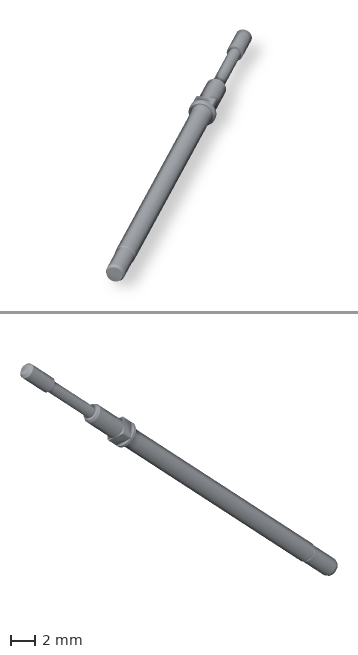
import cadquery as cq

LENGTH = 38.8
TIP_Y = LENGTH / 2

HEAD_DIA = 1.35
PLUNGER_DIA = 1.0
BARREL_DIA = 1.7
PRESS_RING_DIA = 1.85
COLLAR_DIA = 2.3
TAIL_DIA = 1.6

HEAD_LENGTH = 3.0
PLUNGER_LENGTH = 5.3
UPPER_BARREL_LENGTH = 3.2
SQUARE_LENGTH = 0.97
FLANGE_LENGTH = 0.4
PRESS_RING_LENGTH = 0.65
TAIL_LENGTH = 3.0

TIP_CHAMFER = 0.25
BARREL_MOUTH_CHAMFER_LENGTH = 0.25
BARREL_MOUTH_CHAMFER_DEPTH = 0.1
FLANGE_CHAMFER = 0.1
BARREL_END_CHAMFER = 0.15
TAIL_CHAMFER_LENGTH = 0.27
TAIL_CHAMFER_DEPTH = 0.1

SQUARE_ACROSS_FLATS = BARREL_DIA

head_end = TIP_Y - HEAD_LENGTH
barrel_start = head_end - PLUNGER_LENGTH
square_start = barrel_start - UPPER_BARREL_LENGTH
flange_start = square_start - SQUARE_LENGTH
flange_end = flange_start - FLANGE_LENGTH
press_ring_end = flange_end - PRESS_RING_LENGTH
tail_end = TIP_Y - LENGTH
barrel_end = tail_end + TAIL_LENGTH


def cylinder(diameter, y_top, y_bottom):
    """Solid cylinder on the Y axis between two positions along it."""
    return cq.Workplane("XZ", origin=(0, y_top, 0)).circle(diameter / 2).extrude(y_top - y_bottom)


def make_plunger():
    head = cylinder(HEAD_DIA, TIP_Y, head_end).faces(">Y").chamfer(TIP_CHAMFER)
    return head.union(cylinder(PLUNGER_DIA, head_end, barrel_start))


def make_barrel():
    barrel = cylinder(BARREL_DIA, barrel_start, barrel_end)
    barrel = barrel.faces(">Y").chamfer(BARREL_MOUTH_CHAMFER_LENGTH, BARREL_MOUTH_CHAMFER_DEPTH)
    return barrel.faces("<Y").chamfer(BARREL_END_CHAMFER)


def make_square_drive():
    """Round bar of collar diameter milled to a square with rounded corners."""
    square = (
        cq.Workplane("XZ", origin=(0, square_start, 0))
        .rect(SQUARE_ACROSS_FLATS, SQUARE_ACROSS_FLATS)
        .extrude(SQUARE_LENGTH)
    )
    return square.intersect(cylinder(COLLAR_DIA, square_start, flange_start))


def make_flange():
    return cylinder(COLLAR_DIA, flange_start, flange_end).faces("<Y").chamfer(FLANGE_CHAMFER)


def make_press_ring():
    """Slight cone below the flange that runs out into the barrel."""
    return (
        cq.Workplane("XZ", origin=(0, flange_end, 0))
        .circle(PRESS_RING_DIA / 2)
        .workplane(offset=PRESS_RING_LENGTH)
        .circle(BARREL_DIA / 2)
        .loft()
    )


def make_tail():
    tail = cylinder(TAIL_DIA, barrel_end, tail_end)
    return tail.faces("<Y").chamfer(TAIL_CHAMFER_LENGTH, TAIL_CHAMFER_DEPTH)


result = (
    make_barrel()
    .union(make_plunger())
    .union(make_square_drive())
    .union(make_flange())
    .union(make_press_ring())
    .union(make_tail())
)